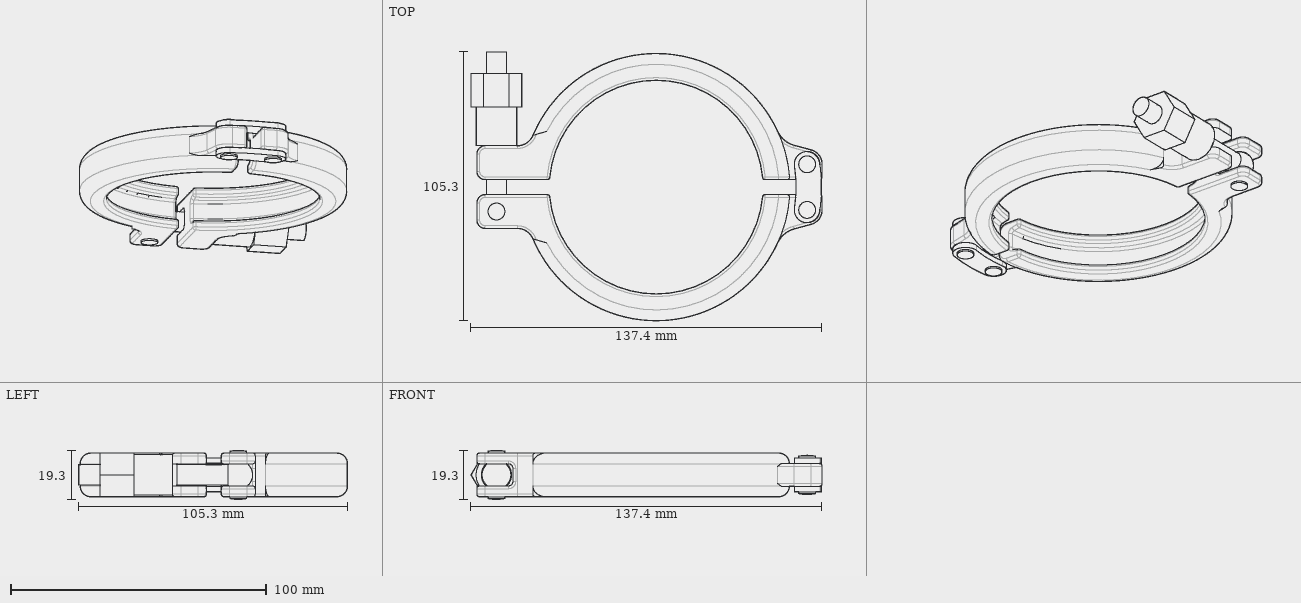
import cadquery as cq
import math

RING_OUTER_R = 52.4
RING_INNER_R = 41.8
RING_HEIGHT = 17.2
RING_OUTER_FILLET = 4.3
EDGE_FILLET = 1.1
GAP = 5.8

GROOVE_BOTTOM_R = 46.0
GROOVE_MOUTH_HEIGHT = 9.9
GROOVE_BOTTOM_HEIGHT = 8.0
GROOVE_FILLET = 1.2

BOLT_X = -62.5
LUG_END_X = -70.2
LUG_OUTER_Y = 16.2
LUG_CORNER_R = 3.3
LUG_BLEND_R = 6.6
LUG_ROOT_ANGLE = math.radians(153)
SLOT_HEIGHT = 8.7
SLOT_END_X = -56.1
SLOT_CORNER_R = 1.8

HINGE_X = 59.1
HINGE_Y = 9.0
HINGE_LUG_R = 5.9
HINGE_LUG_HEIGHT = 9.0
HINGE_SLOPE = math.radians(15)
HINGE_BLEND_R = 9.9
LINK_WIDTH = 10.0
LINK_THICKNESS = 2.2

RIVET_R = 3.3
RIVET_RIM = 0.7
RIVET_DOME = 0.35

BOLT_R = 4.0
BOLT_TOP_Y = 52.9
EYE_R = 5.6
HEX_WIDTH = 19.9
HEX_START_Y = 31.3
HEX_TOP_Y = 44.5
SLEEVE_R = 8.0
NOSE_LENGTH = 1.8
NOSE_R = 5.9

HALF_GAP = GAP / 2
ROOT_R = RING_OUTER_R - RING_OUTER_FILLET
EYE_Y = -(HALF_GAP + LUG_OUTER_Y) / 2
HINGE_PIN_R = math.hypot(HINGE_X, HINGE_Y)
LINK_BOTTOM_Z = HINGE_LUG_HEIGHT / 2
LINK_TOP_Z = LINK_BOTTOM_Z + LINK_THICKNESS


def polar(radius, angle):
    """Point or offset at a distance and an angle from +X."""
    return (radius * math.cos(angle), radius * math.sin(angle))


def full_ring():
    """Complete ring with a rounded C-shaped section, open towards the axis."""
    top_z = RING_HEIGHT / 2
    mouth_z = GROOVE_MOUTH_HEIGHT / 2
    bottom_z = GROOVE_BOTTOM_HEIGHT / 2
    section_points = [
        (RING_INNER_R, -top_z),
        (RING_OUTER_R, -top_z),
        (RING_OUTER_R, top_z),
        (RING_INNER_R, top_z),
        (RING_INNER_R, mouth_z),
        (GROOVE_BOTTOM_R, bottom_z),
        (GROOVE_BOTTOM_R, -bottom_z),
        (RING_INNER_R, -mouth_z),
    ]
    groove_corners = cq.selectors.BoxSelector(
        (GROOVE_BOTTOM_R - GROOVE_FILLET, -mouth_z, -GROOVE_FILLET),
        (GROOVE_BOTTOM_R + GROOVE_FILLET, mouth_z, GROOVE_FILLET),
    )
    section = (
        cq.Sketch()
        .face(cq.Wire.makePolygon([cq.Vector(*point) for point in section_points], close=True))
        .vertices(groove_corners).fillet(GROOVE_FILLET).reset()
        .vertices(">X").fillet(RING_OUTER_FILLET).reset()
        .vertices("<X").fillet(EDGE_FILLET).reset()
    )
    return cq.Workplane("XZ").placeSketch(section).revolve(360, (0, 0, 0), (0, 1, 0))


def bolt_lug():
    """Solid ear on the +Y half, blended into the ring."""
    blend_y = LUG_OUTER_Y + LUG_BLEND_R
    blend_x = -math.sqrt((RING_OUTER_R + LUG_BLEND_R) ** 2 - blend_y ** 2)
    ring_angle = math.atan2(blend_y, blend_x)
    facing_angle = ring_angle - math.pi
    mid_dx, mid_dy = polar(LUG_BLEND_R, (facing_angle - math.pi / 2) / 2)
    root_angle = math.pi - math.asin(HALF_GAP / ROOT_R)
    root_mid_angle = (LUG_ROOT_ANGLE + root_angle) / 2
    lug = (
        cq.Workplane("XY")
        .moveTo(LUG_END_X, HALF_GAP)
        .lineTo(LUG_END_X, LUG_OUTER_Y)
        .lineTo(blend_x, LUG_OUTER_Y)
        .threePointArc((blend_x + mid_dx, blend_y + mid_dy), polar(RING_OUTER_R, ring_angle))
        .lineTo(*polar(ROOT_R, LUG_ROOT_ANGLE))
        .threePointArc(polar(ROOT_R, root_mid_angle), polar(ROOT_R, root_angle))
        .close()
        .extrude(RING_HEIGHT / 2, both=True)
    )
    return lug.edges("|Z and <X").fillet(LUG_CORNER_R)


def lug_slot():
    """Cutter for the slot that opens the bolt lug towards -X."""
    return (
        cq.Workplane("XY")
        .box(2 * (SLOT_END_X - LUG_END_X), 2 * LUG_OUTER_Y, SLOT_HEIGHT)
        .edges("|Y and >X").fillet(SLOT_CORNER_R)
        .translate((LUG_END_X, LUG_OUTER_Y, 0))
    )


def hinge_lug():
    """Ear for the hinge rivet on the +Y half, blended into the ring."""
    slope_angle = math.pi / 2 - HINGE_SLOPE
    slope_offset = HINGE_X * math.cos(slope_angle) + HINGE_Y * math.sin(slope_angle) + HINGE_LUG_R
    blend_center_r = RING_OUTER_R + HINGE_BLEND_R
    ring_angle = slope_angle - math.acos((slope_offset + HINGE_BLEND_R) / blend_center_r)
    blend_x, blend_y = polar(blend_center_r, ring_angle)

    def around_pin(angle):
        dx, dy = polar(HINGE_LUG_R, angle)
        return (HINGE_X + dx, HINGE_Y + dy)

    def around_blend(angle):
        dx, dy = polar(HINGE_BLEND_R, angle)
        return (blend_x + dx, blend_y + dy)

    ring_side = ring_angle + math.pi
    slope_side = slope_angle + math.pi
    root_angle = math.asin(HALF_GAP / ROOT_R)
    root_mid_angle = (ring_angle + root_angle) / 2
    lug = (
        cq.Workplane("XY")
        .moveTo(HINGE_X + HINGE_LUG_R, HALF_GAP)
        .lineTo(*around_pin(0))
        .threePointArc(around_pin(slope_angle / 2), around_pin(slope_angle))
        .lineTo(*around_blend(slope_side))
        .threePointArc(around_blend((ring_side + slope_side) / 2), around_blend(ring_side))
        .lineTo(*polar(ROOT_R, ring_angle))
        .threePointArc(polar(ROOT_R, root_mid_angle), polar(ROOT_R, root_angle))
        .close()
        .extrude(HINGE_LUG_HEIGHT / 2, both=True)
    )
    outer_contour = cq.selectors.BoxSelector(
        (HINGE_X - HINGE_LUG_R, HINGE_Y, -HINGE_LUG_HEIGHT),
        (HINGE_X + 2 * HINGE_LUG_R, 2 * RING_OUTER_R, HINGE_LUG_HEIGHT),
    )
    return lug.faces(">Z or <Z").edges(outer_contour).fillet(EDGE_FILLET)


def round_mating_end(half):
    """Round the edges at the gap, which run on around the bolt lug."""
    return half.faces("<Y").edges().fillet(EDGE_FILLET)


def half_ring(rounded_slot):
    """The +Y half of the ring with its two ears; the slot edges are rounded or left sharp."""
    keep = cq.Workplane("XY").box(4 * RING_OUTER_R, 2 * RING_OUTER_R, 2 * RING_HEIGHT)
    keep = keep.translate((0, RING_OUTER_R + HALF_GAP, 0))
    half = full_ring().intersect(keep).union(bolt_lug()).union(hinge_lug())
    if rounded_slot:
        return round_mating_end(half.cut(lug_slot()))
    return round_mating_end(half).cut(lug_slot())


def rivet(x, y, seat_z):
    """Shank between two seats at +seat_z and -seat_z, with a domed head on each end."""
    rim_z = seat_z + RIVET_RIM
    top_z = rim_z + RIVET_DOME
    dome_r = (RIVET_R ** 2 + RIVET_DOME ** 2) / (2 * RIVET_DOME)
    mid_dx, mid_dz = polar(dome_r, math.pi / 2 - math.asin(RIVET_R / dome_r) / 2)
    mid_z = top_z - dome_r + mid_dz
    profile = (
        cq.Workplane("XZ")
        .moveTo(0, top_z)
        .threePointArc((mid_dx, mid_z), (RIVET_R, rim_z))
        .lineTo(RIVET_R, -rim_z)
        .threePointArc((mid_dx, -mid_z), (0, -top_z))
        .close()
    )
    return profile.revolve(360, (0, 0, 0), (0, 1, 0)).translate((x, y, 0))


def link():
    """Upper hinge link: a slot shape bent around the ring axis."""
    pin_angle = math.atan2(HINGE_Y, HINGE_X)
    inner_r = HINGE_PIN_R - LINK_WIDTH / 2
    outer_r = HINGE_PIN_R + LINK_WIDTH / 2
    end_dx, end_dy = polar(LINK_WIDTH / 2, pin_angle + math.pi / 2)
    return (
        cq.Workplane("XY", origin=(0, 0, LINK_BOTTOM_Z))
        .moveTo(*polar(inner_r, -pin_angle))
        .threePointArc((inner_r, 0), polar(inner_r, pin_angle))
        .threePointArc((HINGE_X + end_dx, HINGE_Y + end_dy), polar(outer_r, pin_angle))
        .threePointArc((outer_r, 0), polar(outer_r, -pin_angle))
        .threePointArc((HINGE_X + end_dx, -HINGE_Y - end_dy), polar(inner_r, -pin_angle))
        .close()
        .extrude(LINK_THICKNESS)
    )


def nose():
    """Spigot of the nut that sits in the +Y bolt lug."""
    return (
        cq.Workplane("XZ", origin=(BOLT_X, LUG_OUTER_Y, 0))
        .circle(NOSE_R)
        .extrude(NOSE_LENGTH)
    )


def make_clamp():
    """Both halves joined by the riveted hinge links, with the rivet of the eye bolt."""
    bolt_half = half_ring(rounded_slot=True).mirror("XZ")
    nut_half = half_ring(rounded_slot=False).cut(nose())
    clamp = bolt_half.union(nut_half)
    clamp = clamp.union(link()).union(link().mirror("XY"))
    for side in (1, -1):
        clamp = clamp.union(rivet(HINGE_X, side * HINGE_Y, LINK_TOP_Z))
    return clamp.union(rivet(BOLT_X, EYE_Y, RING_HEIGHT / 2))


def make_eye_bolt():
    """Rod with a ball eye that is flattened to fit the slot and bored for its rivet."""
    rod = cq.Workplane("XZ", origin=(BOLT_X, BOLT_TOP_Y, 0)).circle(BOLT_R).extrude(BOLT_TOP_Y - EYE_Y)
    flats = cq.Workplane("XY").box(3 * EYE_R, 3 * EYE_R, SLOT_HEIGHT)
    eye = cq.Workplane("XY").sphere(EYE_R).intersect(flats).translate((BOLT_X, EYE_Y, 0))
    bore = cq.Workplane("XY").circle(RIVET_R).extrude(EYE_R, both=True).translate((BOLT_X, EYE_Y, 0))
    return rod.union(eye).cut(bore)


def make_nut():
    """Hexagon, sleeve and nose, bored for the bolt."""
    hexagon = (
        cq.Workplane("XZ", origin=(BOLT_X, HEX_TOP_Y, 0))
        .polygon(6, HEX_WIDTH)
        .extrude(HEX_TOP_Y - HEX_START_Y)
    )
    sleeve = (
        cq.Workplane("XZ", origin=(BOLT_X, HEX_START_Y, 0))
        .circle(SLEEVE_R)
        .extrude(HEX_START_Y - LUG_OUTER_Y)
    )
    bore = cq.Workplane("XZ", origin=(BOLT_X, HEX_TOP_Y, 0)).circle(BOLT_R).extrude(HEX_TOP_Y)
    return hexagon.union(sleeve).union(nose()).cut(bore)


clamp = make_clamp()
eye_bolt = make_eye_bolt()
nut = make_nut()
result = cq.Compound.makeCompound([clamp.val(), eye_bolt.val(), nut.val()])